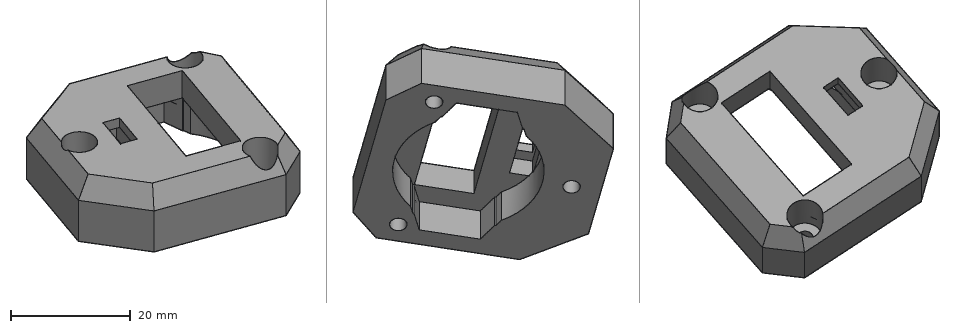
import cadquery as cq
import math

width = 36.6
length = 39.5
height = 12.35
bevel_height = 4.0
bevel_angle = 30.0
back_edge_width = 26.6
front_edge_width = 20.15
back_corner_y = 14.75
front_corner_y = -9.7

window_width = 22.6
window_length = 10.15
window_center_y = 4.62
slot_width = 6.8
slot_length = 3.1
slot_center_y = -7.23
slot_lip = 1.9
switch_side_margin = 1.98
switch_edge_margin = 0.4

screw_diameter = 2.9
head_diameter = 6.0
head_floor_z = 4.75
back_screw_x = 14.5
back_screw_y = 11.77
front_screw_y = -14.75

cavity_height = 6.8
cavity_radius = 12.65
cavity_center_y = 2.9
bay_inner_x = 10.0
bay_step_x = 11.38
bay_step = 0.2
bay_outer_x = 15.0
bay_wall_angle = 25.0


def make_body():
    """Eight-sided block with a bevelled upper rim."""
    half_width = width / 2
    half_length = length / 2
    right_side = [
        (front_edge_width / 2, -half_length),
        (half_width, front_corner_y),
        (half_width, back_corner_y),
        (back_edge_width / 2, half_length),
    ]
    left_side = [(-x, y) for x, y in reversed(right_side)]
    outline = right_side + left_side
    wall_height = height - bevel_height
    base = cq.Workplane("XY").polyline(outline).close().extrude(wall_height)
    rim = (
        cq.Workplane("XY", origin=(0, 0, wall_height))
        .polyline(outline)
        .close()
        .extrude(bevel_height, taper=bevel_angle)
    )
    return base.union(rim)


def make_cavity():
    """Round cavity joined to a narrowing bay at its left and right."""
    cavity = (
        cq.Workplane("XY")
        .center(0, cavity_center_y)
        .circle(cavity_radius)
        .extrude(cavity_height)
    )
    inner_half = math.sqrt(cavity_radius**2 - bay_inner_x**2)
    wall_slope = math.tan(math.radians(bay_wall_angle))
    step_half = inner_half - (bay_step_x - bay_inner_x) * wall_slope
    outer_half = inner_half - bay_step - (bay_outer_x - bay_inner_x) * wall_slope
    back_wall = [
        (bay_inner_x, inner_half),
        (bay_step_x, step_half),
        (bay_step_x, step_half - bay_step),
        (bay_outer_x, outer_half),
    ]
    front_wall = [(x, -y) for x, y in reversed(back_wall)]
    for side in (-1, 1):
        bay = (
            cq.Workplane("XY")
            .center(0, cavity_center_y)
            .polyline([(side * x, y) for x, y in back_wall + front_wall])
            .close()
            .extrude(cavity_height)
        )
        cavity = cavity.union(bay)
    return cavity


def make_opening(size_x, size_y, center_y):
    """Rectangular cutter through the full height."""
    return cq.Workplane("XY").center(0, center_y).rect(size_x, size_y).extrude(height)


def make_switch_recess():
    """Wider recess under the slot lip, opening into the cavity."""
    return (
        cq.Workplane("XY", origin=(0, slot_center_y, cavity_height))
        .rect(slot_width + 2 * switch_side_margin, slot_length + 2 * switch_edge_margin)
        .extrude(height - slot_lip - cavity_height)
    )


def make_screw_hole(x, y):
    """Through hole with a flat counterbore from the top."""
    shank = cq.Workplane("XY").center(x, y).circle(screw_diameter / 2).extrude(height)
    head = (
        cq.Workplane("XY", origin=(x, y, head_floor_z))
        .circle(head_diameter / 2)
        .extrude(height - head_floor_z)
    )
    return shank.union(head)


result = make_body().cut(make_cavity())
result = result.cut(make_opening(window_width, window_length, window_center_y))
result = result.cut(make_opening(slot_width, slot_length, slot_center_y))
result = result.cut(make_switch_recess())

screw_positions = [
    (-back_screw_x, back_screw_y),
    (back_screw_x, back_screw_y),
    (0, front_screw_y),
]
for screw_x, screw_y in screw_positions:
    result = result.cut(make_screw_hole(screw_x, screw_y))